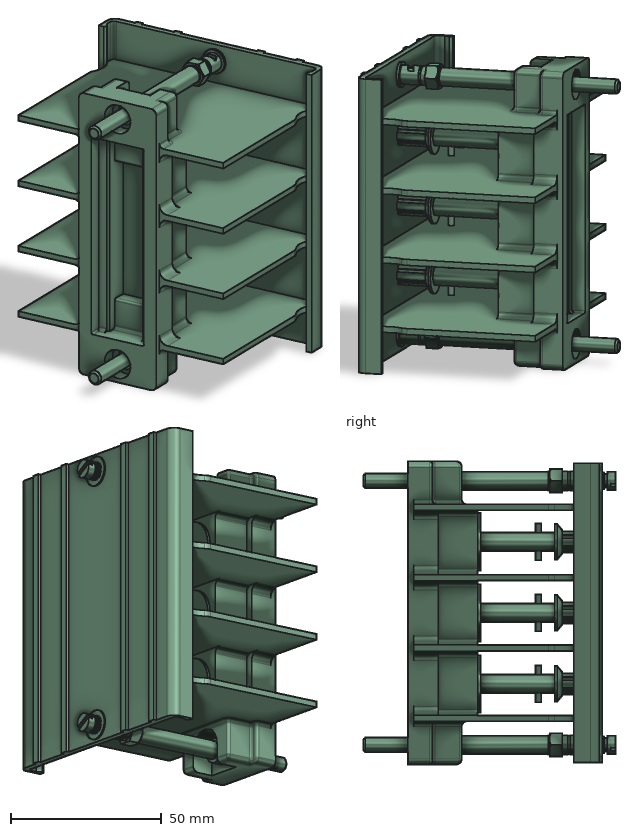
import cadquery as cq
import math

base_height = 100.7
base_width = 30.2
barrier_pitch = 23.4
post_pitch = 23.6
edge_radius = 2.0
corner_radius = 0.9

fin_width = 80.1
fin_thickness = 2.0
fin_front = 2.0
cover_inner = 61.1
fin_corner = 1.5
neck_depth = 1.6
neck_half_length = 5.0
neck_y = 52.8
neck_blend = 4.0

block_width = 24.8
pole_step = 10.1
pole_depth = 23.2
end_step = 8.1
end_depth = 17.9
wide_root = 3.0
narrow_root = 2.0
end_root = 1.5

pocket_width = 20.5
pocket_height = 70.5
ledge_depth = 4.7
ledge_end_radius = 1.2
slot_floor_width = 12.1
slot_end_depth = 8.5
slot_depth = 13.3
slot_end_radius = 1.3
slot_middle_height = 48.9
slot_step_radius = 0.8
slot_chamfer = 0.8
slot_draft = 0.4
pocket_corner = 0.7

pad_diameter = 19.1
pad_thickness = 1.0
post_diameter = 6.2
pin_diameter = 2.0
pin_length = 12.3
pin_y = 43.3
flange_diameter = 11.9
flange_y = 48.7
flange_thickness = 0.8
flange_cone_length = 1.6
flange_cone_diameter = 8.1
knurl_diameter = 7.3
flute_count = 6
flute_width = 1.2
flute_depth = 0.7

screw_z = 43.8
shank_diameter = 4.9
shank_tip = -14.8
shank_chamfer = 0.7
collar_diameter = 8.5
collar_length = 3.9
collar_cone_length = 0.6
sleeve_diameter = 6.1
hex_flats = 7.9
hex_front = 47.0
hex_length = 4.2
hex_chamfer = 0.5
hex_collar_length = 0.5
neck_diameter = 6.4
neck_groove_y = 53.5
neck_groove_width = 0.7
neck_groove_depth = 0.2
washer_diameter = 8.5
washer_thickness = 0.9
split_width = 1.8
split_length = 6.0
split_depth = 1.4
split_x = -0.6
split_y = 57.2
split_angle = 18.0
rear_washer_diameter = 10.0
rear_washer_thickness = 0.4
toothed_large_diameter = 6.1
toothed_small_diameter = 5.4
toothed_length = 1.2
tooth_count = 16
tooth_gap = 0.5
tooth_inner_diameter = 4.6
head_diameter = 6.1
head_length = 2.8
head_end = 69.0
driver_slot_width = 1.2
driver_slot_depth = 1.7
driver_slot_angle = 30.0

counterbore_diameter = 10.1
counterbore_depth = 5.0
screw_slot_width = 5.2
screw_slot_height = 7.1
nut_pocket_width = 13.0
nut_pocket_floor = 10.1

cover_width = 83.2
cover_height = 99.4
cover_outer = 63.5
cover_radius = 3.0
flange_end = 55.0
lip_inset = 0.9
lip_y = 56.0
lip_round = 0.4
rib_width = 2.7
rib_rise = 1.0
rib_offsets = (16.2, 31.4)

fin_heights = [(i - 1.5) * barrier_pitch for i in range(4)]
post_heights = [(i - 1) * post_pitch for i in range(3)]
top_fin_face = fin_heights[-1] + fin_thickness / 2
fin_half = fin_width / 2
pick_margin = 0.1


def block(width, y_start, y_end, z_start, z_end):
    """Box centred on x = 0."""
    corner = cq.Workplane("XY", origin=(0, y_start, z_start))
    return corner.box(width, y_end - y_start, z_end - z_start, centered=(True, False, False))


def rod(diameter, y_start, y_end):
    """Cylinder along Y on the line x = z = 0."""
    return cq.Workplane("XZ", origin=(0, y_start, 0)).circle(diameter / 2).extrude(y_start - y_end)


def turned(points):
    """Solid of revolution about Y from (radius, y) points."""
    return cq.Workplane("XY").polyline(points).close().revolve(360, (0, 0, 0), (0, 1, 0))


def cone(diameter_start, diameter_end, y_start, y_end):
    """Truncated cone along Y on the line x = z = 0."""
    return turned([(0, y_start), (diameter_start / 2, y_start), (diameter_end / 2, y_end), (0, y_end)])


def make_fin():
    """Barrier fin with a rounded neck in each side and rounded rear corners."""
    neck_start = neck_y - neck_half_length
    neck_end = neck_y + neck_half_length
    neck_x = fin_half - neck_depth
    outline = (
        cq.Workplane("XY")
        .moveTo(-fin_half, fin_front)
        .lineTo(fin_half, fin_front)
        .lineTo(fin_half, neck_start)
        .threePointArc((neck_x, neck_y), (fin_half, neck_end))
        .lineTo(fin_half, cover_inner - fin_corner)
        .radiusArc((fin_half - fin_corner, cover_inner), -fin_corner)
        .lineTo(fin_corner - fin_half, cover_inner)
        .radiusArc((-fin_half, cover_inner - fin_corner), -fin_corner)
        .lineTo(-fin_half, neck_end)
        .threePointArc((-neck_x, neck_y), (-fin_half, neck_start))
        .close()
    )
    fin = outline.extrude(fin_thickness).translate((0, 0, -fin_thickness / 2))
    neck_corners = cq.selectors.BoxSelector(
        (-cover_width, neck_start - pick_margin, -fin_thickness),
        (cover_width, neck_start + pick_margin, fin_thickness),
    )
    return fin.edges(neck_corners).edges("|Z").fillet(neck_blend)


def root_fillets(half_width, radius, y_start, y_end):
    """Concave fillets on both sides between a fin's upper face (z = 0) and the base wall."""
    middle = radius * (1 - math.sqrt(0.5))
    profile = (
        cq.Workplane("XZ", origin=(0, y_start, 0))
        .lineTo(half_width + radius, 0)
        .threePointArc((half_width + middle, middle), (half_width, radius))
        .lineTo(0, radius)
        .close()
    )
    fillet = profile.extrude(y_start - y_end)
    return fillet.union(fillet.mirror("YZ"))


def make_end():
    """Upper end of the base, standing on the topmost fin, with rounded top edges and fin roots."""
    top = base_height / 2
    foot = fin_heights[-1]
    wide = block(base_width, 0, end_step, foot, top).edges("|Y and >Z").fillet(edge_radius)
    wide = wide.edges("|Z and >Y").fillet(corner_radius)
    narrow = block(block_width, 0, end_depth, foot, top)
    narrow = narrow.edges(">Z").edges("|Y or >Y").fillet(edge_radius)
    narrow = narrow.edges("|Z and >Y").fillet(corner_radius)
    end = wide.union(narrow)
    step_corners = cq.selectors.BoxSelector(
        (-block_width / 2 - pick_margin, end_step - pick_margin, foot),
        (block_width / 2 + pick_margin, end_step + pick_margin, top),
    )
    end = end.edges(step_corners).edges("|Z").fillet(corner_radius)
    end = end.union(make_fin().translate((0, 0, foot)))
    roots = cq.selectors.BoxSelector(
        (-base_width / 2 - pick_margin, fin_front - pick_margin, top_fin_face - pick_margin),
        (base_width / 2 + pick_margin, end_depth + pick_margin, top_fin_face + pick_margin),
        boundingbox=True,
    )
    return end.edges(roots).fillet(end_root)


def make_pole_section():
    """Stepped middle of the base with fillets where it meets the fins."""
    reach = top_fin_face
    section = block(base_width, 0, pole_step, -reach, reach)
    section = section.union(block(block_width, 0, pole_depth, -reach, reach))
    upper = root_fillets(base_width / 2, wide_root, fin_front, pole_step)
    upper = upper.union(root_fillets(block_width / 2, narrow_root, fin_front, pole_depth))
    upper = upper.translate((0, 0, fin_thickness / 2))
    lower = upper.mirror("XY")
    for z in fin_heights[:-1]:
        section = section.union(upper.translate((0, 0, z)))
    for z in fin_heights[1:]:
        section = section.union(lower.translate((0, 0, z)))
    return section


def make_post():
    """Pole post: pad, shaft with a cross pin, conical flange and fluted head, axis at z = 0."""
    cone_start = flange_y + flange_thickness
    cone_end = cone_start + flange_cone_length
    post = rod(pad_diameter, pole_depth, pole_depth + pad_thickness)
    post = post.union(rod(post_diameter, pole_depth, flange_y))
    post = post.union(rod(flange_diameter, flange_y, cone_start))
    post = post.union(cone(flange_diameter, flange_cone_diameter, cone_start, cone_end))
    head = rod(knurl_diameter, cone_end, cover_inner)
    flute = block(flute_width, cone_end, cover_inner, knurl_diameter / 2 - flute_depth, knurl_diameter)
    for i in range(flute_count):
        head = head.cut(flute.rotate((0, 0, 0), (0, 1, 0), i * 360 / flute_count))
    pin = cq.Workplane("XY", origin=(0, pin_y, -pin_length / 2)).circle(pin_diameter / 2).extrude(pin_length)
    return post.union(head).union(pin)


def make_front_pocket():
    """Shallow front pocket with a deeper, stepped slot in its floor."""
    top = pocket_height / 2
    opening = block(pocket_width, 0, ledge_depth, -top, top)
    recess = opening.edges("|X and >Y").fillet(ledge_end_radius)
    recess = recess.intersect(opening.edges("|Y").fillet(pocket_corner))

    ends = block(pocket_width, 0, slot_end_depth, -top, top)
    ends = ends.edges("|X and >Y").fillet(slot_end_radius)
    middle = block(pocket_width, 0, slot_depth, -slot_middle_height / 2, slot_middle_height / 2)
    slot = ends.union(middle)
    step = cq.selectors.BoxSelector(
        (-pocket_width, slot_end_depth - pick_margin, -slot_middle_height / 2 - pick_margin),
        (pocket_width, slot_end_depth + pick_margin, slot_middle_height / 2 + pick_margin),
    )
    slot = slot.edges(step).edges("|X").fillet(slot_step_radius)

    floor_half = slot_floor_width / 2
    wall_half = floor_half + slot_draft
    mouth_half = wall_half + slot_chamfer
    cross_section = [
        (-mouth_half, 0),
        (mouth_half, 0),
        (mouth_half, ledge_depth),
        (wall_half, ledge_depth + slot_chamfer),
        (floor_half, slot_depth),
        (-floor_half, slot_depth),
        (-wall_half, ledge_depth + slot_chamfer),
        (-mouth_half, ledge_depth),
    ]
    walls = cq.Workplane("XY").polyline(cross_section).close().extrude(top, both=True)
    return recess.union(slot.intersect(walls))


def make_screw_opening():
    """Counterbore, oblong hole and rear pocket open to the upper end, for a screw at z = 0."""
    opening = rod(counterbore_diameter, 0, counterbore_depth)
    oblong = cq.Workplane("XZ").slot2D(screw_slot_height, screw_slot_width, 90).extrude(-nut_pocket_floor)
    pocket = rod(nut_pocket_width, nut_pocket_floor, end_depth)
    pocket = pocket.union(block(nut_pocket_width, nut_pocket_floor, end_depth, 0, base_height / 2))
    return opening.union(oblong).union(pocket)


def make_base():
    end = make_end()
    base = make_pole_section().union(end).union(end.mirror("XY"))
    fin = make_fin()
    for z in fin_heights[1:-1]:
        base = base.union(fin.translate((0, 0, z)))
    post = make_post()
    for z in post_heights:
        base = base.union(post.translate((0, 0, z)))
    opening = make_screw_opening().translate((0, 0, screw_z))
    return base.cut(make_front_pocket()).cut(opening).cut(opening.mirror("XY"))


def make_cover():
    """Channel that snaps over the fins, with vertical ribs on its back and two screw holes."""
    outer = cover_width / 2
    lip_x = fin_half - lip_inset
    half = (
        cq.Workplane("XY")
        .moveTo(0, cover_inner)
        .lineTo(fin_half - fin_corner, cover_inner)
        .radiusArc((fin_half, cover_inner - fin_corner), fin_corner)
        .lineTo(fin_half, neck_y + neck_half_length)
        .lineTo(lip_x, lip_y)
        .lineTo(lip_x + lip_round, flange_end)
        .lineTo(outer, flange_end)
        .lineTo(outer, cover_outer - cover_radius)
        .radiusArc((outer - cover_radius, cover_outer), -cover_radius)
        .lineTo(0, cover_outer)
        .close()
        .extrude(cover_height)
        .translate((0, 0, -cover_height / 2))
    )
    cover = half.union(half.mirror("YZ"))
    rib = block(rib_width, cover_inner, cover_outer + rib_rise, -cover_height / 2, cover_height / 2)
    for x in rib_offsets:
        for side in (-1, 1):
            cover = cover.union(rib.translate((side * x, 0, 0)))
    for z in (-screw_z, screw_z):
        cover = cover.cut(rod(sleeve_diameter, cover_inner, cover_outer).translate((0, 0, z)))
    return cover


def make_hex():
    """Hexagonal section with corners along X and bevelled front corners."""
    corners = hex_flats / math.cos(math.pi / 6)
    nut = cq.Workplane("XZ", origin=(0, hex_front, 0)).polygon(6, corners).extrude(-hex_length)
    bevel = turned(
        [
            (0, hex_front),
            (corners / 2 - hex_chamfer, hex_front),
            (corners / 2, hex_front + hex_chamfer),
            (corners / 2, hex_front + hex_length),
            (0, hex_front + hex_length),
        ]
    )
    return nut.intersect(bevel)


def make_toothed_washer(y_start):
    """Conical lock washer whose teeth are parted by radial gaps."""
    y_end = y_start + toothed_length
    washer = cone(toothed_large_diameter, toothed_small_diameter, y_start, y_end)
    gap = block(tooth_gap, y_start, y_end, tooth_inner_diameter / 2, toothed_large_diameter)
    for i in range(tooth_count):
        washer = washer.cut(gap.rotate((0, 0, 0), (0, 1, 0), (i + 0.5) * 360 / tooth_count))
    return washer


def make_screw():
    """Complete fixing screw with its sleeve, collar, hexagon and washers, axis at z = 0."""
    collar_front = nut_pocket_floor
    head_start = head_end - head_length
    rear_washer_end = cover_outer + rear_washer_thickness
    hex_end = hex_front + hex_length
    screw = rod(shank_diameter, shank_tip, collar_front).faces("<Y").chamfer(shank_chamfer)
    collar_rear = collar_front + collar_length
    screw = screw.union(rod(collar_diameter, collar_front, collar_rear))
    screw = screw.union(cone(collar_diameter, sleeve_diameter, collar_rear, collar_rear + collar_cone_length))
    screw = screw.union(rod(sleeve_diameter, collar_front, rear_washer_end))
    screw = screw.union(rod(neck_diameter, hex_front - hex_collar_length, hex_front))
    screw = screw.union(make_hex())

    neck = rod(neck_diameter, hex_end, cover_inner)
    groove = rod(neck_diameter, neck_groove_y - neck_groove_width / 2, neck_groove_y + neck_groove_width / 2)
    groove = groove.cut(rod(neck_diameter - 2 * neck_groove_depth, hex_end, cover_inner))
    neck = neck.cut(groove)
    screw = screw.union(neck)
    split = cq.Workplane("XY").box(split_length, split_width, neck_diameter / 2)
    split = split.rotate((0, 0, 0), (0, 0, 1), split_angle)
    split_centre_z = 3 * neck_diameter / 4 - split_depth
    screw = screw.cut(split.translate((split_x, split_y, split_centre_z)))

    screw = screw.union(rod(washer_diameter, cover_inner - washer_thickness, cover_inner))
    screw = screw.union(rod(rear_washer_diameter, cover_outer, rear_washer_end))
    screw = screw.union(rod(tooth_inner_diameter, rear_washer_end, head_start))
    screw = screw.union(make_toothed_washer(rear_washer_end))
    head = rod(head_diameter, head_start, head_end)
    slot_half = driver_slot_width / 2
    driver_slot = block(head_diameter * 2, head_end - driver_slot_depth, head_end, -slot_half, slot_half)
    driver_slot = driver_slot.rotate((0, 0, 0), (0, 1, 0), driver_slot_angle)
    return screw.union(head.cut(driver_slot))


base = make_base()
cover = make_cover()
screw = make_screw()
screws = [screw.translate((0, 0, z)).val() for z in (-screw_z, screw_z)]

result = cq.Compound.makeCompound([base.val(), cover.val(), *screws])